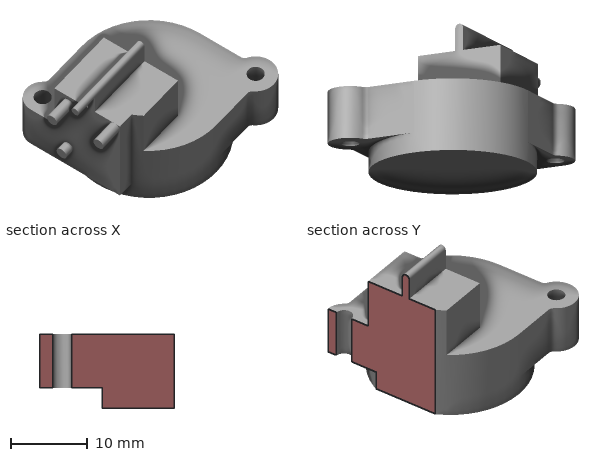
import cadquery as cq
import math

HOUSING_RADIUS = 11.0
DISC_HEIGHT = 2.68
FLANGE_TOP = 9.66

EAR_OFFSET = 9.9
REAR_EAR_RADIUS = 2.95
FRONT_EAR_RADIUS = 2.6
EAR_HOLE_RADIUS = 1.18
EAR_FILLET = 0.87

FRONT_FACE_Y = -EAR_OFFSET - FRONT_EAR_RADIUS
FRONT_FACE_RIGHT = 4.65
BLOCK_HALF_WIDTH = 6.03
BLOCK_BACK_Y = -1.8
BLOCK_TOP = 16.85

TOTAL_HEIGHT = 20.45
TOTAL_LENGTH = 28.85
ROD_RADIUS = 0.58
ROD_Z = TOTAL_HEIGHT - ROD_RADIUS
PIN_TIP_Y = EAR_OFFSET + REAR_EAR_RADIUS - TOTAL_LENGTH

PIN_RADIUS = 0.8
PIN_X = 3.78
LEFT_PIN_Z = 15.38
RIGHT_PIN_Z = 16.05
LOWER_PIN_Z = 6.52
LONG_PIN = FRONT_FACE_Y - PIN_TIP_Y
SHORT_PIN = 1.45


def plate(x_min, x_max, y_min, y_max, z_min, z_max):
    """Box given by its limits along each axis."""
    size = (x_max - x_min, y_max - y_min, z_max - z_min)
    return cq.Workplane("XY").box(*size, centered=False).translate((x_min, y_min, z_min))


def upright(x, y, radius, z_min, z_max):
    """Vertical cylinder."""
    return cq.Workplane("XY", origin=(x, y, z_min)).circle(radius).extrude(z_max - z_min)


def forward_pin(x, z, radius, start_y, length):
    """Horizontal cylinder running from start_y toward -Y."""
    return cq.Workplane("XZ", origin=(x, start_y, z)).circle(radius).extrude(length)


def outline(top):
    """Housing outline with its front shelf, from the flange underside up to top."""
    r = HOUSING_RADIUS
    diagonal = r * math.sqrt(0.5)
    rounded = (
        cq.Workplane("XY", origin=(0, 0, DISC_HEIGHT))
        .moveTo(-r, -r)
        .lineTo(0, -r)
        .threePointArc((diagonal, -diagonal), (r, 0))
        .lineTo(r, r)
        .lineTo(0, r)
        .threePointArc((-diagonal, diagonal), (-r, 0))
        .close()
        .extrude(top - DISC_HEIGHT)
    )
    shelf = plate(-EAR_OFFSET, FRONT_FACE_RIGHT, FRONT_FACE_Y, -EAR_OFFSET, DISC_HEIGHT, top)
    return rounded.union(shelf)


def ear_corner(x, y):
    """Selects the vertical edge where an ear meets a flat side of the housing."""
    half = 0.15
    return cq.selectors.BoxSelector(
        (x - half, y - half, DISC_HEIGHT), (x + half, y + half, FLANGE_TOP)
    )


def flange():
    front_ear = upright(-EAR_OFFSET, -EAR_OFFSET, FRONT_EAR_RADIUS, DISC_HEIGHT, FLANGE_TOP)
    rear_ear = upright(EAR_OFFSET, EAR_OFFSET, REAR_EAR_RADIUS, DISC_HEIGHT, FLANGE_TOP)
    body = outline(FLANGE_TOP).union(front_ear).union(rear_ear)
    side_gap = HOUSING_RADIUS - EAR_OFFSET
    front_corner = EAR_OFFSET - math.sqrt(FRONT_EAR_RADIUS**2 - side_gap**2)
    rear_corner = EAR_OFFSET - math.sqrt(REAR_EAR_RADIUS**2 - side_gap**2)
    corners = (
        ear_corner(-HOUSING_RADIUS, -front_corner)
        + ear_corner(HOUSING_RADIUS, rear_corner)
        + ear_corner(rear_corner, HOUSING_RADIUS)
    )
    return body.edges("|Z").edges(corners).fillet(EAR_FILLET)


def terminal_block():
    """Block above the flange, trimmed to the housing outline."""
    block = plate(
        -BLOCK_HALF_WIDTH, BLOCK_HALF_WIDTH, FRONT_FACE_Y, BLOCK_BACK_Y, DISC_HEIGHT, BLOCK_TOP
    )
    return block.intersect(outline(BLOCK_TOP))


result = upright(0, 0, HOUSING_RADIUS, 0, FLANGE_TOP).union(flange()).union(terminal_block())

web = plate(-ROD_RADIUS, ROD_RADIUS, FRONT_FACE_Y, BLOCK_BACK_Y, BLOCK_TOP, ROD_Z)
rod = forward_pin(0, ROD_Z, ROD_RADIUS, BLOCK_BACK_Y, BLOCK_BACK_Y - PIN_TIP_Y)
result = result.union(web).union(rod)

for x, z, length in (
    (-PIN_X, LEFT_PIN_Z, LONG_PIN),
    (PIN_X, RIGHT_PIN_Z, LONG_PIN),
    (-PIN_X, LOWER_PIN_Z, SHORT_PIN),
):
    result = result.union(forward_pin(x, z, PIN_RADIUS, FRONT_FACE_Y, length))

for offset in (-EAR_OFFSET, EAR_OFFSET):
    result = result.cut(upright(offset, offset, EAR_HOLE_RADIUS, 0, FLANGE_TOP))